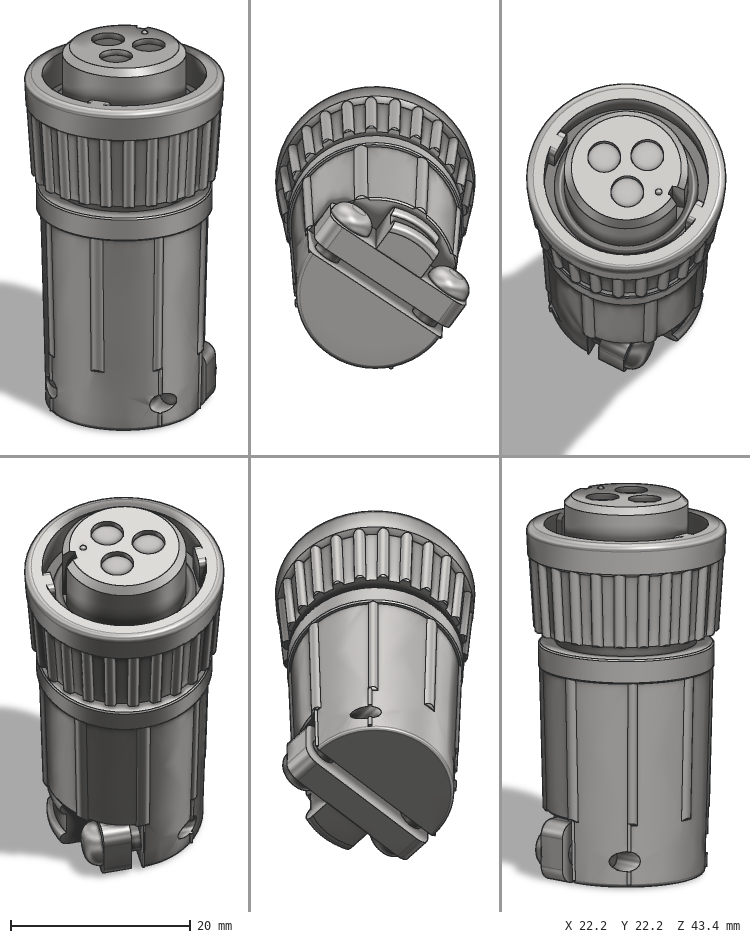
import cadquery as cq

clamp_bottom_z = 0.0
body_bottom_z = 0.25
half_cut_z = 7.38
body_top_z = 23.7
collar_bottom_z = 23.85
collar_top_z = 26.47
knurl_bottom_z = 27.9
ring_bottom_z = 36.45
ring_top_z = 39.9
plug_top_z = 43.15
total_height = 43.4

plug_radius = 6.9
neck_radius = 7.85
body_bottom_radius = 8.75
body_top_radius = 9.37
collar_radius = 9.8
knurl_bottom_root = 9.68
knurl_top_root = 10.25
ring_bottom_radius = 11.0
ring_radius = 11.15
bore_radius = 9.15

ring_fillet = 0.75
bore_depth = 3.78
bore_floor_z = ring_top_z - bore_depth
seal_tube_radius = 0.55
seal_radius = plug_radius + seal_tube_radius
lug_width = 3.05
lug_inner_y = 8.25
lug_fillet = 0.75
lug_count = 2
knurl_count = 24
knurl_rib_radius = 0.65
knurl_edge_chamfer = 0.17
underside_height = 0.4

plug_chamfer = 0.8
contact_radius = 1.82
contact_circle_radius = 2.78
contact_depth = 0.7
contact_count = 3
keyway_floor_y = 5.55
keyway_outer_half_width = 0.95
keyway_floor_half_width = 0.48
dot_x = 0.82
dot_y = 4.5
dot_radius = 0.4

collar_chamfer = 0.17
body_fillet = 0.35
grip_radius = 1.0
grip_height = 0.325
grip_end_bevel = 0.25
wide_grip_angles = (0, 45, 90, 135, 180, 270)
narrow_grip_radius = 0.6
narrow_grip_angles = (226, 314)
body_edge_chamfer = 0.2
seam_radius = 0.2
seam_height = 0.25
seam_angles = (180, 223.7, 316.3, 360)

screw_x = 6.6
screw_z = 3.25
shank_radius = 1.55
screw_hole_radius = 1.15
screw_hole_floor_y = -3.47
head_radius = 2.55
head_height = 1.8
head_fillet = 1.65
clamp_front_y = 1.35
clamp_back_y = 4.5
clamp_length = 18.4
clamp_height = 6.8
clamp_corner = 1.65
saddle_length = 6.08
saddle_radius = 7.6
saddle_height = 6.55
bead_radius = 0.9
bead_circle_radius = 7.73
web_height = 3.15
web_radius = 7.95


def cylinder(radius, bottom, top):
    return cq.Workplane("XY").workplane(offset=bottom).circle(radius).extrude(top - bottom)


def cone(bottom_radius, top_radius, bottom, top):
    return cq.Workplane(cq.Solid.makeCone(bottom_radius, top_radius, top - bottom, pnt=(0, 0, bottom)))


def turned(shape, angle):
    return shape.rotate((0, 0, 0), (0, 0, 1), angle)


def leaning_rod(radius, bottom_reach, top_reach, bottom, top, angle):
    """Round rod leaning outward from bottom_reach to top_reach, ends trimmed level."""
    overrun = radius / 2
    slope = (top_reach - bottom_reach) / (top - bottom)
    start = cq.Vector(bottom_reach - slope * overrun, 0, bottom - overrun)
    direction = cq.Vector(slope, 0, 1)
    length = (top - bottom + 2 * overrun) * direction.Length
    rod = cq.Workplane(cq.Solid.makeCylinder(radius, length, start, direction))
    return turned(rod.intersect(cylinder(2 * ring_radius, bottom, top)), angle)


def body_radius_at(z):
    fraction = (z - body_bottom_z) / (body_top_z - body_bottom_z)
    return body_bottom_radius + fraction * (body_top_radius - body_bottom_radius)


def bevel_bottom(shape, radius, bottom, size):
    """Cut a 45 degree bevel round the bottom edge of a shape of the given outer radius."""
    top = bottom + 2 * size
    keep = cone(radius - size, radius + size, bottom, top)
    return shape.cut(cylinder(2 * ring_radius, bottom, top).cut(keep))


def make_grip(rod_radius, angle):
    inset = rod_radius - grip_height
    bottom_radius = body_radius_at(half_cut_z)
    rib = leaning_rod(
        rod_radius, bottom_radius - inset, body_top_radius - inset, half_cut_z, collar_bottom_z, angle)
    return bevel_bottom(rib, bottom_radius + grip_height, half_cut_z, grip_end_bevel)


def make_backshell():
    body = cone(body_radius_at(half_cut_z), body_top_radius, half_cut_z, body_top_z)
    body = body.faces("<Z").edges().chamfer(body_edge_chamfer)
    lower = cone(body_bottom_radius, body_top_radius, body_bottom_z, body_top_z)
    lower = lower.faces("<Z").edges().fillet(body_fillet)

    seam_inset = seam_radius - seam_height
    for angle in seam_angles:
        lower = lower.union(leaning_rod(
            seam_radius, body_bottom_radius - seam_inset, body_radius_at(half_cut_z) - seam_inset,
            body_bottom_z + body_fillet, half_cut_z + grip_end_bevel, angle))
    front_half = cq.Workplane("XY").box(
        4 * ring_radius, 2 * ring_radius, body_top_z, centered=(True, False, False))
    body = body.union(lower.intersect(front_half.translate((0, -2 * ring_radius, 0))))

    for angle in wide_grip_angles:
        body = body.union(make_grip(grip_radius, angle))
    for angle in narrow_grip_angles:
        body = body.union(make_grip(narrow_grip_radius, angle))

    collar = cylinder(collar_radius, collar_bottom_z - collar_chamfer, collar_top_z)
    collar = collar.edges().chamfer(collar_chamfer)
    return body.union(collar)


def make_coupling_ring():
    knurl = cone(knurl_bottom_root, knurl_top_root, knurl_bottom_z, ring_bottom_z)
    half_pitch = 180 / knurl_count
    rib = leaning_rod(
        knurl_rib_radius, knurl_bottom_root, knurl_top_root, knurl_bottom_z, ring_bottom_z, half_pitch)
    rib = bevel_bottom(rib, knurl_bottom_root + knurl_rib_radius, knurl_bottom_z, knurl_edge_chamfer)
    ribs = [turned(rib, i * 2 * half_pitch).val() for i in range(knurl_count)]
    knurl = knurl.union(cq.Workplane(cq.Compound.makeCompound(ribs)))

    underside = cone(knurl_top_root, ring_bottom_radius, ring_bottom_z - underside_height, ring_bottom_z)
    rim = cone(ring_bottom_radius, ring_radius, ring_bottom_z, ring_top_z)
    rim = rim.faces(">Z").edges().fillet(ring_fillet)
    ring = knurl.union(underside).union(rim).cut(cylinder(bore_radius, bore_floor_z, ring_top_z))

    lug_depth = (bore_radius + ring_radius - ring_fillet) / 2 - lug_inner_y
    lug = cq.Workplane("XY").box(lug_width, lug_depth, bore_depth, centered=(True, False, False))
    lug = lug.translate((0, lug_inner_y, bore_floor_z))
    lug = lug.faces(">Z").edges("|Y").fillet(lug_fillet)
    for i in range(lug_count):
        ring = ring.union(turned(lug, i * 360 / lug_count))

    seal = cq.Workplane(cq.Solid.makeTorus(seal_radius, seal_tube_radius, cq.Vector(0, 0, bore_floor_z)))
    return ring.union(seal)


def make_plug():
    plug = cylinder(plug_radius, bore_floor_z, plug_top_z).faces(">Z").chamfer(plug_chamfer)

    contacts = (
        cq.Workplane("XY").workplane(offset=plug_top_z)
        .polarArray(contact_circle_radius, -90, 360, contact_count)
        .circle(contact_radius).extrude(-contact_depth)
    )
    keyway = (
        cq.Workplane("XY").workplane(offset=bore_floor_z)
        .moveTo(-keyway_floor_half_width, keyway_floor_y)
        .lineTo(keyway_floor_half_width, keyway_floor_y)
        .lineTo(keyway_outer_half_width, plug_radius)
        .lineTo(-keyway_outer_half_width, plug_radius)
        .close().extrude(plug_top_z - bore_floor_z)
    )
    dot = cq.Workplane("XY").sphere(dot_radius).translate((dot_x, dot_y, total_height - dot_radius))
    return plug.cut(contacts).cut(keyway).union(dot)


def rod_along_y(radius, x, start_y, end_y):
    length = end_y - start_y
    return cq.Workplane(cq.Solid.makeCylinder(
        radius, length, cq.Vector(x, start_y, screw_z), cq.Vector(0, 1, 0)))


def make_clamp():
    bar = cq.Workplane("XY").box(
        clamp_length, clamp_back_y - clamp_front_y, clamp_height, centered=(True, False, False))
    bar = bar.translate((0, clamp_front_y, clamp_bottom_z)).edges("|Y").fillet(clamp_corner)

    mid_z = clamp_bottom_z + clamp_height / 2
    saddle = cylinder(saddle_radius, mid_z - saddle_height / 2, mid_z + saddle_height / 2)
    saddle = saddle.union(cylinder(web_radius, mid_z - web_height / 2, mid_z + web_height / 2))
    bead_offset = saddle_height / 2 - bead_radius
    for side in (-1, 1):
        center = cq.Vector(0, 0, mid_z + side * bead_offset)
        saddle = saddle.union(cq.Workplane(cq.Solid.makeTorus(bead_circle_radius, bead_radius, center)))
    window = cq.Workplane("XY").box(
        saddle_length, ring_radius, clamp_height, centered=(True, False, False))
    clamp = bar.union(saddle.intersect(window.translate((0, clamp_front_y, clamp_bottom_z))))

    for x in (-screw_x, screw_x):
        head = rod_along_y(head_radius, x, clamp_back_y, clamp_back_y + head_height)
        head = head.faces(">Y").edges().fillet(head_fillet)
        clamp = clamp.union(head).union(rod_along_y(shank_radius, x, 0, clamp_front_y))
    return clamp


def make_screw_holes():
    left = rod_along_y(screw_hole_radius, -screw_x, -ring_radius, screw_hole_floor_y)
    return left.union(left.mirror("YZ"))


neck = cylinder(neck_radius, collar_top_z, knurl_bottom_z)
result = make_backshell().union(neck).union(make_coupling_ring()).union(make_plug())
result = result.cut(make_screw_holes()).union(make_clamp()).solids()